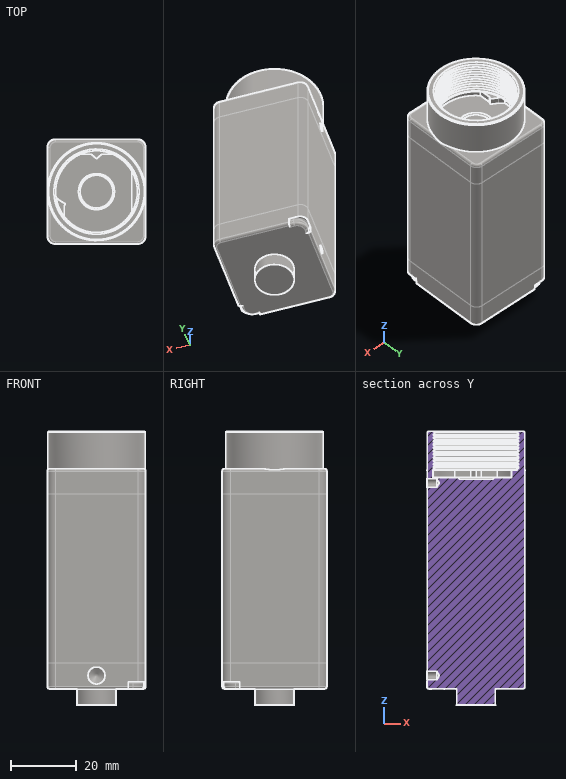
import cadquery as cq
import math

WIDTH = 30.0
LENGTH = 32.0
HEIGHT = 83.45

CONNECTOR_LENGTH = 4.9
CONNECTOR_DIAMETER = 12.0
BODY_HEIGHT = 67.15
BODY_BOTTOM = CONNECTOR_LENGTH
BODY_TOP = BODY_BOTTOM + BODY_HEIGHT
CORNER_RADIUS = 2.5
EDGE_RADIUS = 0.8
TOP_CAP_HEIGHT = 7.7
BOTTOM_CAP_HEIGHT = 8.0

RING_DIAMETER = 29.8
RING_CHAMFER = 0.3
THREAD_MAJOR_DIAMETER = 26.0
THREAD_MINOR_DIAMETER = 24.9
THREAD_PITCH = 1.0
THREAD_COUNT = 11
THREAD_DEPTH = 11.9
THREAD_RADIAL_DEPTH = (THREAD_MAJOR_DIAMETER - THREAD_MINOR_DIAMETER) / 2

POCKET_DEPTH = 2.2
POCKET_RADIUS = 13.1
POCKET_RIGHT_X = 10.8
POCKET_LEFT_X = -9.9
POCKET_BACK_Y = 11.4
BACK_TOOTH_TIP_Y = 10.0
BACK_TOOTH_HALF_WIDTH = 1.6
LEFT_TOOTH_TIP = (-9.5, -3.7)
LEFT_TOOTH_ROOT_Y = -4.7
LEFT_TOOTH_BEND = (-11.6, -2.4)
LEFT_TOOTH_TOP_Y = -1.0
WINDOW_DIAMETER = 10.0
WINDOW_CHAMFER = 0.5

DRILL_POINT_ANGLE = 118.0
TRIPOD_HOLE_DIAMETER = 5.2
TRIPOD_HOLE_DEPTH = 5.0
SIDE_HOLE_DIAMETER = 2.5
SIDE_HOLE_DEPTH = 3.0
LOWER_HOLES_Z = BODY_BOTTOM + 4.1
UPPER_HOLE_Z = BODY_TOP - 4.4

NOTCH_LENGTH = 5.4
NOTCH_DEPTH = 0.6
NOTCH_HEIGHT = 2.2
NOTCH_CORNER_RADIUS = 3.4
NOTCH_EDGE_RADIUS = 0.35


def rounded_block(width, length, bottom, height, corner_radius=CORNER_RADIUS):
    """Upright block centred on the Z axis with rounded vertical edges."""
    block = cq.Workplane("XY", origin=(0, 0, bottom)).rect(width, length).extrude(height)
    return block.edges("|Z").fillet(corner_radius)


def cylinder(diameter, bottom, height):
    """Upright cylinder on the Z axis."""
    return cq.Workplane("XY", origin=(0, 0, bottom)).circle(diameter / 2).extrude(height)


def make_housing():
    """Solid outside shape: middle section, two end caps, lens ring and connector."""
    top_cap = rounded_block(WIDTH, LENGTH, BODY_TOP - TOP_CAP_HEIGHT, TOP_CAP_HEIGHT)
    top_cap = top_cap.faces(">Z").edges().fillet(EDGE_RADIUS)
    bottom_cap = rounded_block(WIDTH, LENGTH, BODY_BOTTOM, BOTTOM_CAP_HEIGHT)
    bottom_cap = bottom_cap.faces("<Z").edges().fillet(EDGE_RADIUS)
    middle_height = BODY_HEIGHT - TOP_CAP_HEIGHT - BOTTOM_CAP_HEIGHT
    middle = rounded_block(WIDTH, LENGTH, BODY_BOTTOM + BOTTOM_CAP_HEIGHT, middle_height)
    ring_bottom = BODY_TOP - EDGE_RADIUS
    ring = cylinder(RING_DIAMETER, ring_bottom, HEIGHT - ring_bottom)
    ring = ring.faces(">Z").edges().chamfer(RING_CHAMFER)
    connector = cylinder(CONNECTOR_DIAMETER, 0, CONNECTOR_LENGTH + EDGE_RADIUS)
    housing = middle
    for piece in (top_cap, bottom_cap, ring, connector):
        housing = housing.union(piece, clean=False)
    return housing


def make_threaded_bore():
    """Revolved cavity: lead-in chamfer, then V grooves down to the shelf."""
    crest = THREAD_MINOR_DIAMETER / 2
    root = THREAD_MAJOR_DIAMETER / 2
    shelf_z = HEIGHT - THREAD_DEPTH
    profile = cq.Workplane("XZ").moveTo(0, HEIGHT).lineTo(root, HEIGHT)
    z = HEIGHT - THREAD_RADIAL_DEPTH
    profile = profile.lineTo(crest, z)
    for _ in range(THREAD_COUNT):
        profile = profile.lineTo(root, z - THREAD_PITCH / 2).lineTo(crest, z - THREAD_PITCH)
        z -= THREAD_PITCH
    profile = profile.lineTo(crest, shelf_z).lineTo(0, shelf_z).close()
    return profile.revolve(360, (0, 0, 0), (0, 1, 0))


def make_pocket():
    """Round sensor pocket with flats on three sides and two pointed teeth, plus the window recess."""
    shelf_z = HEIGHT - THREAD_DEPTH
    floor_z = shelf_z - POCKET_DEPTH
    outline = (
        cq.Workplane("XY", origin=(0, 0, floor_z))
        .moveTo(POCKET_RIGHT_X, -POCKET_RADIUS)
        .lineTo(POCKET_RIGHT_X, POCKET_BACK_Y)
        .lineTo(BACK_TOOTH_HALF_WIDTH, POCKET_BACK_Y)
        .lineTo(0, BACK_TOOTH_TIP_Y)
        .lineTo(-BACK_TOOTH_HALF_WIDTH, POCKET_BACK_Y)
        .lineTo(-POCKET_RADIUS, POCKET_BACK_Y)
        .lineTo(-POCKET_RADIUS, LEFT_TOOTH_TOP_Y)
        .lineTo(*LEFT_TOOTH_BEND)
        .lineTo(*LEFT_TOOTH_TIP)
        .lineTo(POCKET_LEFT_X, LEFT_TOOTH_ROOT_Y)
        .lineTo(POCKET_LEFT_X, -POCKET_RADIUS)
        .close()
        .extrude(POCKET_DEPTH)
    )
    pocket = outline.intersect(cylinder(2 * POCKET_RADIUS, floor_z, POCKET_DEPTH))
    rim_radius = WINDOW_DIAMETER / 2 + WINDOW_CHAMFER
    window = cq.Workplane("XY", origin=(0, 0, floor_z)).circle(rim_radius).extrude(-WINDOW_CHAMFER, taper=45)
    return pocket.union(window)


def drilled_hole(diameter, depth, entry, direction):
    """Blind hole with a conical end, drilled from entry along direction."""
    radius = diameter / 2
    point_length = radius / math.tan(math.radians(DRILL_POINT_ANGLE / 2))
    start = cq.Vector(*entry)
    axis = cq.Vector(*direction)
    shaft = cq.Solid.makeCylinder(radius, depth, start, axis)
    point = cq.Solid.makeCone(radius, 0, point_length, start + axis * depth, axis)
    return cq.Workplane(shaft.fuse(point))


def make_corner_notch():
    """Cutter for a shallow step round the +X, -Y lower corner, with a rounded ceiling."""
    corner_plane = cq.Workplane("XY", origin=(WIDTH / 2, -LENGTH / 2, BODY_BOTTOM))
    corner = corner_plane.rect(2 * NOTCH_LENGTH, 2 * NOTCH_LENGTH).extrude(NOTCH_HEIGHT)
    core_width = WIDTH - 2 * NOTCH_DEPTH
    core_length = LENGTH - 2 * NOTCH_DEPTH
    core = rounded_block(core_width, core_length, BODY_BOTTOM, BODY_HEIGHT, NOTCH_CORNER_RADIUS)
    core = core.faces("<Z").edges().fillet(EDGE_RADIUS)
    return corner.cut(core).faces(">Z").edges().fillet(NOTCH_EDGE_RADIUS)


def make_holes():
    """Tripod hole in the -Y side and a lower and an upper hole in the -X side."""
    tripod_entry = (0, -LENGTH / 2, LOWER_HOLES_Z)
    holes = [drilled_hole(TRIPOD_HOLE_DIAMETER, TRIPOD_HOLE_DEPTH, tripod_entry, (0, 1, 0))]
    for hole_z in (LOWER_HOLES_Z, UPPER_HOLE_Z):
        side_entry = (-WIDTH / 2, 0, hole_z)
        holes.append(drilled_hole(SIDE_HOLE_DIAMETER, SIDE_HOLE_DEPTH, side_entry, (1, 0, 0)))
    return holes


notch = make_corner_notch()
opposite_notch = notch.rotate((0, 0, 0), (0, 0, 1), 180)

result = make_housing()
for cutter in (make_threaded_bore(), make_pocket(), *make_holes(), notch, opposite_notch):
    result = result.cut(cutter, clean=False)